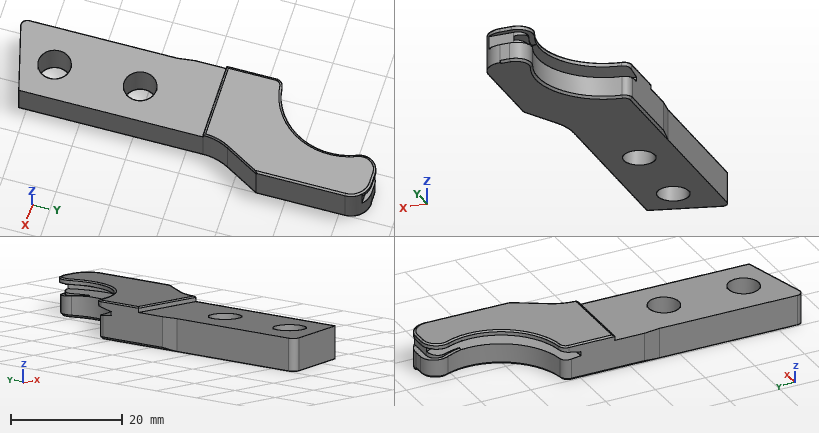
import cadquery as cq
import math

length = 70.0
width = 20.0
height = 7.0

shank_height = 6.0
shank_right = 15.0
shank_top = 38.1
relief = 0.4
relief_start = 29.0
relief_end = 32.1
end_angle = 15.0
end_radius = 1.2
hole_diameter = 6.0
hole_x = 8.0
hole_first_y = 8.2
hole_pitch = 16.0

shoulder_angle = 30.0
neck_radius = 10.0
scallop_x = -0.15
scallop_y = 61.05
upper_scallop_radius = 12.3
nose_radius = 3.0
back_radius = 3.85
upper_lip_radius = 1.5
lower_lip_radius = 1.6
scallop_setback = 0.35
lower_scallop_radius = upper_scallop_radius + scallop_setback

top_break_width = 0.4
top_break_height = 0.2
bottom_break = 0.4

groove_depth = 3.8
mouth_low = 4.1
mouth_high = 6.1
root_low = 4.55
root_high = 5.3
nose_groove_depth = 1.05
nose_groove_low = 3.6
nose_groove_start = 62.8
nose_groove_right = 15.4


def scallop_point(scallop_radius, angle):
    return (
        scallop_x + scallop_radius * math.cos(angle),
        scallop_y + scallop_radius * math.sin(angle),
    )


def make_blank(scallop_radius, lip_radius):
    """Full-height plan shape, with the nose tangent to the scallop."""
    nose_y = length - nose_radius
    nose_angle = math.asin((nose_y - scallop_y) / (scallop_radius + nose_radius))
    nose_x = scallop_x + (scallop_radius + nose_radius) * math.cos(nose_angle)
    nose_mid_angle = (math.pi / 2 + math.pi + nose_angle) / 2
    nose_mid = (
        nose_x + nose_radius * math.cos(nose_mid_angle),
        nose_y + nose_radius * math.sin(nose_mid_angle),
    )
    lip_angle = -math.acos(-scallop_x / scallop_radius)
    scallop_mid = scallop_point(scallop_radius, (nose_angle + lip_angle) / 2)
    lip_corner = scallop_point(scallop_radius, lip_angle)

    turn = math.radians(shoulder_angle)
    neck_x = shank_right + neck_radius * (1 - math.cos(turn))
    neck_start = shank_top + neck_radius * math.sin(turn)
    shoulder_y = neck_start + (width - neck_x) / math.tan(turn)
    neck_mid = (
        shank_right + neck_radius * (1 - math.cos(turn / 2)),
        shank_top + neck_radius * math.sin(turn / 2),
    )
    slope = math.radians(end_angle)
    end_left_y = end_radius * (1 - 1 / math.cos(slope) - math.tan(slope))
    end_right_y = end_left_y + (shank_right - relief) * math.tan(slope)

    blank = (
        cq.Workplane("XY")
        .moveTo(relief, end_left_y)
        .lineTo(shank_right, end_right_y)
        .lineTo(shank_right, shank_top)
        .threePointArc(neck_mid, (neck_x, neck_start))
        .lineTo(width, shoulder_y)
        .lineTo(width, length)
        .lineTo(nose_x, length)
        .threePointArc(nose_mid, scallop_point(scallop_radius, nose_angle))
        .threePointArc(scallop_mid, lip_corner)
        .lineTo(0, relief_end)
        .lineTo(relief, relief_start)
        .close()
        .extrude(height)
    )
    for x, y, radius in (
        (relief, end_left_y, end_radius),
        (width, length, back_radius),
        (*lip_corner, lip_radius),
    ):
        corner = cq.selectors.NearestToPointSelector((x, y, height / 2))
        blank = blank.edges("|Z").edges(corner).fillet(radius)
    return blank


def break_top_edges(solid):
    """Shallow chamfer round the hook's raised top face, including its step."""
    top = solid.faces(">Z").edges()
    return solid.newObject([
        solid.val().chamfer(top_break_width, top_break_height, top.vals())
    ])


def make_layer(bottom, top):
    """Slab larger than the plan, between two levels."""
    return (
        cq.Workplane("XY", origin=(0, 0, bottom))
        .rect(4 * length, 4 * length)
        .extrude(top - bottom)
    )


def make_shank_step():
    return (
        cq.Workplane("XY", origin=(0, 0, shank_height))
        .rect(2 * width, 2 * shank_top)
        .extrude(height)
    )


def make_groove():
    """Disc concentric with the scallop, narrowing toward its rim."""
    rim = upper_scallop_radius + groove_depth
    return (
        cq.Workplane("XZ", origin=(scallop_x, scallop_y, 0))
        .polyline([
            (0, mouth_low),
            (lower_scallop_radius, mouth_low),
            (rim, root_low),
            (rim, root_high),
            (upper_scallop_radius, mouth_high),
            (0, mouth_high),
        ])
        .close()
        .revolve(360, (0, 0, 0), (0, 1, 0))
    )


def make_nose_groove(blank):
    """Band round the nose whose floor falls toward the tip."""
    band = (
        cq.Workplane("YZ")
        .polyline([
            (nose_groove_start, mouth_low),
            (length, nose_groove_low),
            (length, mouth_high),
            (nose_groove_start, mouth_high),
        ])
        .close()
        .extrude(width)
    )
    inset_wires = blank.faces("<Z").wires().val().offset2D(-nose_groove_depth)
    core = cq.Workplane("XY").newObject(inset_wires).toPending().extrude(height)
    back = (
        cq.Workplane("XY")
        .moveTo(nose_groove_right, 0)
        .rect(width, length - nose_groove_depth, centered=False)
        .extrude(height)
    )
    return band.cut(core).cut(back)


def break_bottom_edges(solid):
    """Chamfer the underside along the left flank, lip, scallop and nose."""
    flank = cq.selectors.BoxSelector(
        (-0.7, relief_end, -0.7), (lower_scallop_radius, length, 0.7)
    )
    chamfered = solid.faces("<Z").edges(flank).chamfer(bottom_break)
    back = (
        cq.Workplane("XY")
        .moveTo(width - back_radius, 0)
        .rect(back_radius, length, centered=False)
        .extrude(height)
    )
    return chamfered.union(solid.intersect(back))


upper = make_blank(upper_scallop_radius, upper_lip_radius)
lower = make_blank(lower_scallop_radius, lower_lip_radius)
body = break_bottom_edges(lower).intersect(make_layer(0, root_high))
body = body.union(upper.intersect(make_layer(root_high, height)))
body = break_top_edges(body.cut(make_shank_step()))
body = body.cut(make_groove()).cut(make_nose_groove(upper))
hole_centers = [(hole_x, hole_first_y + i * hole_pitch) for i in range(2)]
holes = cq.Workplane("XY").pushPoints(hole_centers).circle(hole_diameter / 2).extrude(height)
result = body.cut(holes)